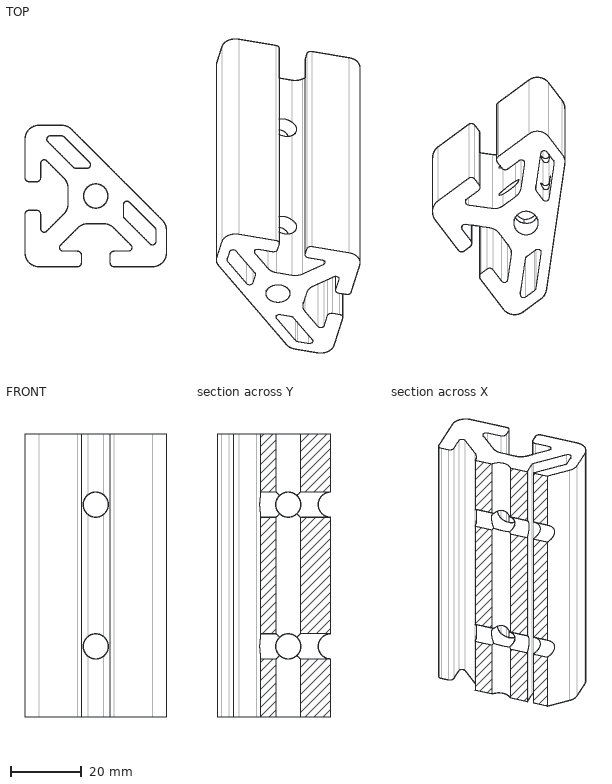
import cadquery as cq
import math

side = 40.0
length = 80.0
half = side / 2
short_flat = 12.0
corner_radius = 4.0

slot_opening = 8.0
slot_depth = 12.2
lip_thickness = 4.5
lip_radius = 1.2
slot_tip_radius = 1.0
slot_floor_radius = 4.0
web_thickness = 5.6

pocket_wall = 3.0
pocket_width = 4.2
pocket_end = 7.8
pocket_radius = 1.0

bore_diameter = 6.8
cross_hole_diameter = 7.0
cross_hole_heights = (length / 4, 3 * length / 4)


def prism(points):
    """Extrude a closed outline along the whole length."""
    return cq.Workplane("XY").polyline(points).close().extrude(length)


def round_edges(body, points, radius):
    """Fillet the lengthwise edges that pass through the given outline points."""
    for x, y in points:
        edge = cq.selectors.NearestToPointSelector((x, y, length / 2))
        body = body.edges("|Z").edges(edge).fillet(radius)
    return body


def make_blank():
    """Square bar with one corner cut off by a diagonal face."""
    cut_corner = short_flat - half
    outline = [(-half, -half), (half, -half), (half, cut_corner), (cut_corner, half), (-half, half)]
    return prism(outline).edges("|Z").fillet(corner_radius)


def cut_slot(body):
    """T-slot opening on the -Y side, with rounded lips and a tapered cavity."""
    mouth = slot_opening / 2
    lip_y = lip_thickness - half
    floor_y = slot_depth - half
    web_offset = web_thickness / math.sqrt(2)
    tip_x = -lip_y - web_offset
    floor_x = -floor_y - web_offset
    right_side = [(mouth, -half), (mouth, lip_y), (tip_x, lip_y), (floor_x, floor_y)]
    left_side = [(-x, y) for x, y in reversed(right_side)]
    body = body.cut(prism(right_side + left_side))
    for sign in (-1, 1):
        body = round_edges(body, [(sign * mouth, -half), (sign * mouth, lip_y)], lip_radius)
        body = round_edges(body, [(sign * tip_x, lip_y)], slot_tip_radius)
        body = round_edges(body, [(sign * floor_x, floor_y)], slot_floor_radius)
    return body


def make_pocket():
    """Parallelogram pocket at the +Y end of the diagonal face."""
    top = half - pocket_wall
    outer_sum = short_flat - pocket_wall * math.sqrt(2)
    inner_sum = outer_sum - pocket_width * math.sqrt(2)
    outline = [
        (inner_sum - top, top),
        (outer_sum - top, top),
        (outer_sum - pocket_end, pocket_end),
        (inner_sum - pocket_end, pocket_end),
    ]
    return prism(outline).edges("|Z").fillet(pocket_radius)


def mirror_across_diagonal(body):
    """Swap X and Y, so a feature on one leg lands on the other."""
    return body.mirror("YZ").rotate((0, 0, 0), (0, 0, 1), -90)


def cross_hole(plane, height):
    """Hole through the full side, square to the given plane."""
    return cq.Workplane(plane).center(0, height).circle(cross_hole_diameter / 2).extrude(half, both=True)


profile = cut_slot(make_blank())
profile = cut_slot(mirror_across_diagonal(profile))

pocket = make_pocket()
profile = profile.cut(pocket).cut(mirror_across_diagonal(pocket))

bore = cq.Workplane("XY").circle(bore_diameter / 2).extrude(length)
result = profile.cut(bore)
for hole_height in cross_hole_heights:
    for hole_plane in ("XZ", "YZ"):
        result = result.cut(cross_hole(hole_plane, hole_height))